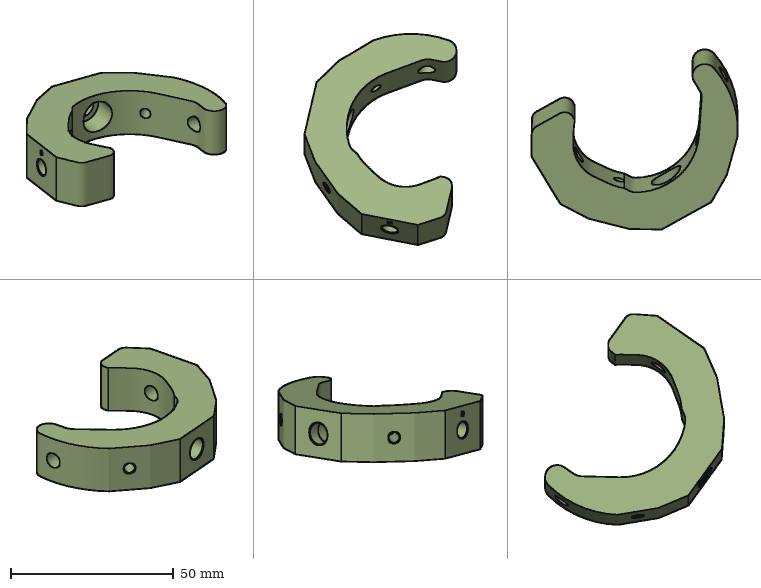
import cadquery as cq
import math

HEIGHT = 15.25
OUTER_RADIUS = 31.75
RIGHT_END = 16.5
FLAT_HALF = 8.9
DIAGONAL_HALF = 6.35

BORE_RADIUS = 19.9
LEDGE_RADIUS = 18.8
LEDGE_START = 220.0
RAMP_ANGLE = 7.5
RAMP_FILLET = 3.8
VALLEY_RADIUS = 12.05
VALLEY_SLOPE = 34.0
LOWER_TIP_Y = -14.2
LOWER_TIP_FILLET = 3.0

UPPER_TIP_X = 8.4
UPPER_TIP_Y = 23.8
UPPER_TIP_FILLET = 3.75
ARM_TANGENT_ANGLE = 124.0
ARM_INNER_FILLET = 5.15

MAIN_X_DIAMETER = 6.7
COUNTERBORE_DIAMETER = 10.3
COUNTERBORE_FLOOR = 4.25
MAIN_Y_DIAMETER = 5.0
DIAGONAL_DIAMETER = 3.3
HOLE_CHAMFER = 0.25
PIN_DIAMETER = 1.6
PIN_OFFSET = 5.1
PIN_DEPTH = 0.5


def polar(radius, angle):
    """Point at a radius and an angle in degrees from +X."""
    turn = math.radians(angle)
    return radius * math.cos(turn), radius * math.sin(turn)


def body():
    tangent = 2 * math.degrees(math.atan(FLAT_HALF / OUTER_RADIUS))
    diagonal = math.degrees(math.asin(DIAGONAL_HALF / OUTER_RADIUS))
    strip_middle = (tangent + 45 - diagonal) / 2

    def outer(angle):
        return polar(OUTER_RADIUS, angle)

    def bore(angle):
        return polar(BORE_RADIUS, angle)

    def ledge(angle):
        return polar(LEDGE_RADIUS, angle)

    tip_top = math.sqrt(OUTER_RADIUS**2 - UPPER_TIP_X**2)
    tip_angle = math.degrees(math.atan2(tip_top, UPPER_TIP_X))
    upper_diagonal_end = 135 - diagonal

    arm_turn = math.radians(ARM_TANGENT_ANGLE)
    arm_corner_x = (BORE_RADIUS - UPPER_TIP_Y * math.sin(arm_turn)) / math.cos(arm_turn)
    arm_corner = (arm_corner_x, UPPER_TIP_Y)

    lower_corner_y = -OUTER_RADIUS + (RIGHT_END - FLAT_HALF) * math.tan(math.radians(tangent))
    lower_corner = (RIGHT_END, lower_corner_y)
    lower_tip = (RIGHT_END, LOWER_TIP_Y)
    ledge_end_x = math.sqrt(LEDGE_RADIUS**2 - LOWER_TIP_Y**2)
    ledge_end = 360 - math.degrees(math.atan2(-LOWER_TIP_Y, ledge_end_x))

    slope = math.radians(VALLEY_SLOPE)
    valley_center_y = -(LEDGE_RADIUS - VALLEY_RADIUS) / math.cos(slope)
    valley_half = VALLEY_RADIUS * math.sin(slope)
    valley_edge_y = valley_center_y - VALLEY_RADIUS * math.cos(slope)
    ledge_left = 270 - VALLEY_SLOPE
    ledge_right = 270 + VALLEY_SLOPE
    bore_end = LEDGE_START - RAMP_ANGLE

    profile = (
        cq.Workplane("XY")
        .moveTo(UPPER_TIP_X, tip_top)
        .threePointArc(outer((tip_angle + upper_diagonal_end) / 2), outer(upper_diagonal_end))
        .lineTo(*outer(135 + diagonal))
        .threePointArc(outer(180 - strip_middle), outer(180 - tangent))
        .lineTo(-OUTER_RADIUS, FLAT_HALF)
        .lineTo(-OUTER_RADIUS, -FLAT_HALF)
        .lineTo(*outer(180 + tangent))
        .threePointArc(outer(180 + strip_middle), outer(225 - diagonal))
        .lineTo(*outer(225 + diagonal))
        .threePointArc(outer(270 - strip_middle), outer(270 - tangent))
        .lineTo(-FLAT_HALF, -OUTER_RADIUS)
        .lineTo(FLAT_HALF, -OUTER_RADIUS)
        .lineTo(*lower_corner)
        .lineTo(*lower_tip)
        .lineTo(ledge_end_x, LOWER_TIP_Y)
        .threePointArc(ledge((ledge_end + ledge_right) / 2), ledge(ledge_right))
        .lineTo(valley_half, valley_edge_y)
        .threePointArc((0, valley_center_y - VALLEY_RADIUS), (-valley_half, valley_edge_y))
        .lineTo(*ledge(ledge_left))
        .threePointArc(ledge((ledge_left + LEDGE_START) / 2), ledge(LEDGE_START))
        .lineTo(*bore(bore_end))
        .threePointArc(bore((bore_end + ARM_TANGENT_ANGLE) / 2), bore(ARM_TANGENT_ANGLE))
        .lineTo(*arm_corner)
        .lineTo(UPPER_TIP_X, UPPER_TIP_Y)
        .close()
    )
    solid = profile.extrude(HEIGHT / 2, both=True)

    def round_corners(part, radius, corners):
        for x, y in corners:
            part = part.edges(cq.selectors.NearestToPointSelector((x, y, 0))).fillet(radius)
        return part

    upper_tip = [(UPPER_TIP_X, tip_top), (UPPER_TIP_X, UPPER_TIP_Y)]
    solid = round_corners(solid, UPPER_TIP_FILLET, upper_tip)
    solid = round_corners(solid, ARM_INNER_FILLET, [arm_corner])
    solid = round_corners(solid, RAMP_FILLET, [bore(bore_end)])
    return round_corners(solid, LOWER_TIP_FILLET, [lower_corner, lower_tip])


def radial_hole(diameter, angle, face_distance, length):
    """Cutter running inward from an outer flat, chamfered at the flat."""
    x, y = polar(1, angle)
    start = cq.Vector(x, y, 0) * face_distance
    inward = cq.Vector(-x, -y, 0)
    radius = diameter / 2
    drill = cq.Solid.makeCylinder(radius, length, start, inward)
    mouth = cq.Solid.makeCone(radius + HOLE_CHAMFER, radius, HOLE_CHAMFER, start, inward)
    return drill.fuse(mouth)


result = body()

result = result.cut(radial_hole(MAIN_X_DIAMETER, 180, OUTER_RADIUS, OUTER_RADIUS))
result = result.cut(radial_hole(MAIN_Y_DIAMETER, -90, OUTER_RADIUS, 2 * OUTER_RADIUS))

counterbore_start = cq.Vector(COUNTERBORE_FLOOR - OUTER_RADIUS, 0, 0)
counterbore_length = OUTER_RADIUS - COUNTERBORE_FLOOR
counterbore = cq.Solid.makeCylinder(
    COUNTERBORE_DIAMETER / 2, counterbore_length, counterbore_start, cq.Vector(1, 0, 0)
)
result = result.cut(counterbore)

diagonal_distance = math.sqrt(OUTER_RADIUS**2 - DIAGONAL_HALF**2)
for hole_angle in (135, 225):
    result = result.cut(radial_hole(DIAGONAL_DIAMETER, hole_angle, diagonal_distance, OUTER_RADIUS))

pin_start = cq.Vector(0, -OUTER_RADIUS, PIN_OFFSET)
pin_hole = cq.Solid.makeCylinder(PIN_DIAMETER / 2, PIN_DEPTH, pin_start, cq.Vector(0, 1, 0))
result = result.cut(pin_hole)